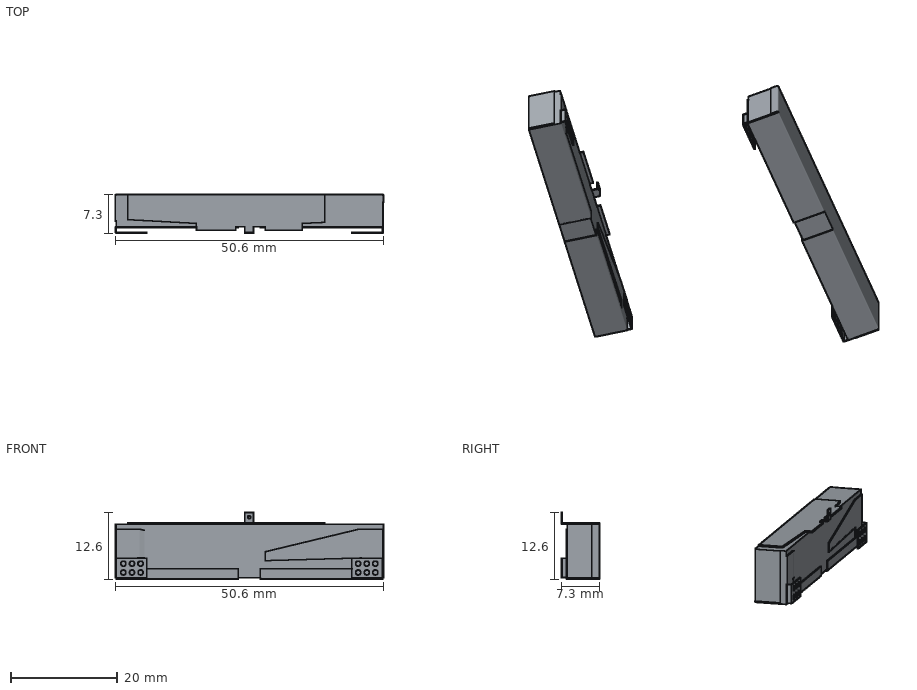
import cadquery as cq

length = 50.6
depth = 7.3
height = 12.6

sheet = 0.2
bend_radius = 0.3

block_left = sheet
block_right = 50.5
block_front = 1.15
block_bottom = 0.25
block_top = 10.35

left_end_sheet_front = 2.3
right_end_sheet_front = 5.75

plate_left = 2.4
plate_right = 39.5
plate_top = 10.7
plate_bend_radius = 0.28
plate_left_front = 2.55
plate_right_front = 2.0
plate_root_front = 1.8
lip_front = 0.5
lip_left = 15.35
lip_right = 35.25
notch_left = 22.75
notch_right = 28.3
notch_front = 1.2

tab_centre = 25.25
tab_width = 1.65
tab_bend_radius = 0.25
tab_hole_diameter = 0.5
tab_hole_height = 11.7

strip_top = 1.95
strip_bend_radius = 0.23
strip_gap_left = 23.25
strip_gap_right = 27.35

front_sheet_left = sheet
front_sheet_right = length - front_sheet_left
front_sheet_top = 9.4
step_sheet_top = 9.2
sheet_root_length = 4.25
sheet_root_top = 4.0
left_sheet_right = 4.6
left_step_right = 5.5
taper_left = 28.3
taper_tip_bottom = 3.5
taper_tip_top = 5.15
taper_shoulder = 45.9

pad_outer_side = 0.05
pad_inner_side = 5.95
pad_bottom = 0.3
pad_top = 3.95
pad_bend_radius = 0.25
root_bend_radius = 0.15
hole_diameter = 0.95
hole_columns = 3
hole_rows = 2
hole_pitch_x = 1.6
hole_pitch_z = 1.65
hole_inset_x = 1.55
hole_bottom = 1.25


def box(x0, x1, y0, y1, z0, z1):
    """Box between two opposite corners."""
    return cq.Workplane("XY").box(x1 - x0, y1 - y0, z1 - z0, centered=False).translate((x0, y0, z0))


def front_sheet(points):
    """Sheet lying on the front of the block, from its (X, Z) outline."""
    return cq.Workplane("XZ", origin=(0, block_front, 0)).polyline(points).close().extrude(sheet)


def block():
    """Carrier block with the sheets that wrap round its two back corners."""
    core = box(block_left, block_right, block_front, depth, block_bottom, block_top)
    left_end = box(0, length / 2, left_end_sheet_front, depth, block_bottom, block_top)
    right_end = box(length / 2, length, right_end_sheet_front, depth, block_bottom, block_top)
    ends = left_end.union(right_end).edges("|Z and >Y").fillet(bend_radius)
    rounded_core = core.edges("|Z and >Y").fillet(bend_radius)
    return rounded_core.union(ends)


def top_plate():
    """Plate with a tapered front edge and two lips, rolled over the back edge."""
    outline = [
        (plate_left, depth),
        (plate_left, plate_left_front),
        (lip_left, plate_root_front),
        (lip_left, lip_front),
        (notch_left, lip_front),
        (notch_left, notch_front),
        (notch_right, notch_front),
        (notch_right, lip_front),
        (lip_right, lip_front),
        (lip_right, plate_root_front),
        (plate_right, plate_right_front),
        (plate_right, depth),
    ]
    base = cq.Workplane("XY", origin=(0, 0, block_top))
    plate = base.polyline(outline).close().extrude(plate_top - block_top)
    return plate.edges("|X and >Y and >Z").fillet(plate_bend_radius)


def upright_tab():
    """Tongue from the top plate, bent upwards and pierced."""
    x0 = tab_centre - tab_width / 2
    x1 = tab_centre + tab_width / 2
    tongue = box(x0, x1, 0, notch_front, block_top, plate_top)
    upright = box(x0, x1, 0, sheet, block_top, height)
    tab = tongue.union(upright).edges("|X and <Y and <Z").fillet(tab_bend_radius)
    hole = (
        cq.Workplane("XZ", origin=(tab_centre, 0, tab_hole_height))
        .circle(tab_hole_diameter / 2)
        .extrude(-sheet)
    )
    return tab.cut(hole)


def bottom_strip(x0, x1):
    """Strip under the block, folded up its front face."""
    front = block_front - sheet
    under = box(x0, x1, front, depth, 0, block_bottom)
    upright = box(x0, x1, front, block_front, 0, strip_top)
    strip = under.union(upright)
    return strip.edges("|X and <Z").fillet(strip_bend_radius)


def left_front_sheet():
    """Left sheet, ramping down to the block along its right edge."""
    flat = front_sheet([
        (front_sheet_left, pad_bottom),
        (front_sheet_left, front_sheet_top),
        (left_sheet_right, front_sheet_top),
        (left_step_right, step_sheet_top),
        (left_step_right, sheet_root_top),
        (sheet_root_length, sheet_root_top),
        (sheet_root_length, pad_bottom),
    ])
    sheet_front = block_front - sheet
    ramp = (
        cq.Workplane("XY")
        .polyline([
            (left_sheet_right, sheet_front),
            (left_step_right, sheet_front),
            (left_step_right, block_front),
        ])
        .close()
        .extrude(height)
    )
    return flat.cut(ramp)


def tapered_front_sheet():
    """Right sheet, narrowing from the right end towards the middle."""
    root_left = length - sheet_root_length
    return front_sheet([
        (taper_left, taper_tip_bottom),
        (taper_left, taper_tip_top),
        (taper_shoulder, front_sheet_top),
        (front_sheet_right, front_sheet_top),
        (front_sheet_right, pad_bottom),
        (root_left, pad_bottom),
        (root_left, sheet_root_top),
    ])


def contact_pad():
    """Left pad: side wall bent into a pierced plate standing in front of the block."""
    outer = box(pad_outer_side, pad_inner_side, 0, block_front, pad_bottom, pad_top)
    outer = outer.edges("|Z and <X and <Y").fillet(pad_bend_radius)
    outer = outer.edges("|Z and <X and >Y").fillet(root_bend_radius)
    inner = box(pad_outer_side + sheet, pad_inner_side, sheet, block_front, pad_bottom, pad_top)
    holes = (
        cq.Workplane("XZ")
        .pushPoints([
            (hole_inset_x + column * hole_pitch_x, hole_bottom + row * hole_pitch_z)
            for column in range(hole_columns)
            for row in range(hole_rows)
        ])
        .circle(hole_diameter / 2)
        .extrude(-sheet)
    )
    return outer.cut(inner).cut(holes)


left_pad = contact_pad()
right_pad = left_pad.mirror("YZ", (length / 2, 0, 0))

result = block()
for feature in (
    top_plate(),
    upright_tab(),
    bottom_strip(front_sheet_left, strip_gap_left),
    bottom_strip(strip_gap_right, front_sheet_right),
    left_front_sheet(),
    tapered_front_sheet(),
    left_pad,
    right_pad,
):
    result = result.union(feature)